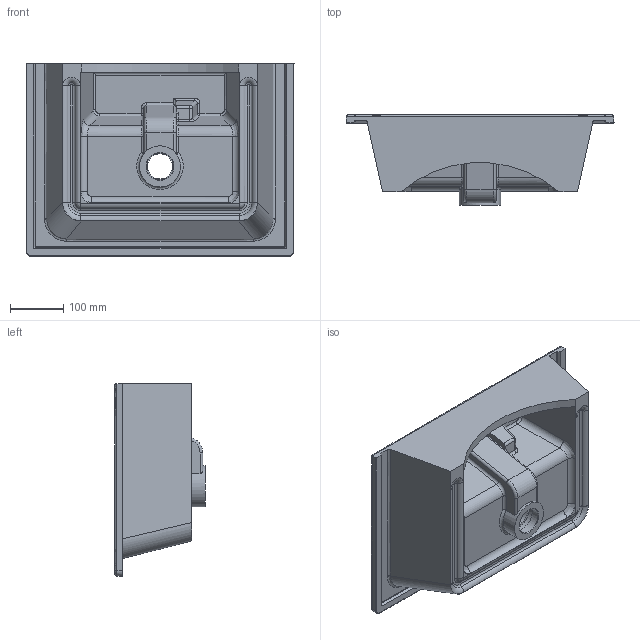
import math
import cadquery as cq


rim_width = 500.0
rim_height = 360.0
rim_depth = 15.0
rim_draft = 3.2
rim_corner_radius = 10.0
rim_edge_radius = 4.0
rim_lip_radius = 1.0
recess_margin = 14.0
recess_slope = 3.0
recess_corner_radius = 2.5
recess_floor_depth = 10.0
recess_root_radius = 1.5

skirt_depth = 144.0
skirt_front_half_width = 182.5
skirt_front_bottom = 294.5
skirt_front_radius = 34.5
skirt_base_half_width = 212.0
skirt_base_bottom = 328.5
skirt_base_radius = 37.0
skirt_base_fillet = 5.0

groove_half_width = 16.5
groove_edge_land = 0.3
groove_floor_half_width = 2.2
groove_crest_radius = 11.0
groove_root_radius = 5.0
groove_end_z = -41.7

wall_draft = 11.0
top_wall = 16.5
pocket_half_width = 148.0
pocket_bottom = 260.5
pocket_corner_radius = 21.0
pocket_side_fillet = 12.0
shelf_depth = 22.0
bowl_floor_depth = 134.0
bowl_crest_z = -119.5
bowl_crest_radius = 20.0
small_fillet = 5.0

arch_half_chord = 147.5
arch_rise = 54.5

channel_half_width = 30.0
channel_depth = 164.5
channel_crest_z = -105.1
channel_crest_radius = 30.0
block_depth = 75.5
block_top_z = -79.0
block_right_x = 60.0
block_bottom_z = -130.0
drain_parts_reach = 75.0

drain_z = -192.4
boss_radius = 38.5
boss_depth = 169.0
lip_radius = 25.0
lip_chamfer = 1.0
lip_length = 16.5
chamber_radius = 28.0
chamber_end = 27.0
drain_radius = 23.5

draft_ratio = math.tan(math.radians(wall_draft))

quarter_arc_inset = 1 - math.sqrt(0.5)

near = 1.0


def u_outline(workplane, half_width, bottom, radius):
    """Outline flat along Z = 0, with two rounded corners at the bottom."""
    bend = radius * quarter_arc_inset
    return (
        workplane.moveTo(-half_width, 0)
        .lineTo(-half_width, radius - bottom)
        .threePointArc((bend - half_width, bend - bottom), (radius - half_width, -bottom))
        .lineTo(half_width - radius, -bottom)
        .threePointArc((half_width - bend, bend - bottom), (half_width, radius - bottom))
        .lineTo(half_width, 0)
        .close()
    )


def u_frustum(start_depth, start_outline, end_depth, end_outline):
    """Solid between two U outlines, each given as (half width, bottom, corner radius)."""
    start = u_outline(cq.Workplane("XZ").workplane(offset=start_depth), *start_outline)
    end = u_outline(start.workplane(offset=end_depth - start_depth), *end_outline)
    return end.loft(ruled=True, combine=True)


def side_prism(points, x_start, x_end):
    """Prism along X from an outline of (depth, z) points."""
    outline = [(-depth, z) for depth, z in points]
    return cq.Workplane("YZ").workplane(offset=x_start).polyline(outline).close().extrude(x_end - x_start)


def box_between(low, high):
    """Selector for edges centred between two corner points."""
    return cq.selectors.BoxSelector(low, high)


def crest_edge(depth, z):
    """Selector for the edge running along X at the given depth and height."""
    return box_between((-near, -depth - near, z - near), (near, near - depth, z + near))


def make_rim():
    growth = rim_depth * math.tan(math.radians(rim_draft))
    back = (rim_width / 2, rim_height, rim_corner_radius)
    front = (rim_width / 2 + growth, rim_height + growth, rim_corner_radius)
    rim = u_frustum(0, back, rim_depth, front)
    rim = rim.faces(">Y").edges().fillet(rim_edge_radius)
    rim = rim.faces("<Y").edges("not >Z").fillet(rim_lip_radius)

    mouth = (front[0] - recess_margin, front[1] - recess_margin, recess_corner_radius)
    floor = (mouth[0] - recess_slope, mouth[1] - recess_slope, recess_corner_radius)
    recess = u_frustum(recess_floor_depth, floor, rim_depth, mouth)
    recess = recess.faces(">Y").edges("not >Z").fillet(recess_root_radius)
    return rim.cut(recess)


def add_skirt(body):
    base = (skirt_base_half_width, skirt_base_bottom, skirt_base_radius)
    front = (skirt_front_half_width, skirt_front_bottom, skirt_front_radius)
    body = body.union(u_frustum(recess_floor_depth, base, skirt_depth, front))
    foot = box_between(
        (-skirt_base_half_width - near, -recess_floor_depth - near, -skirt_base_bottom - near),
        (skirt_base_half_width + near, -recess_floor_depth + near, -near),
    )
    return body.edges(foot).fillet(skirt_base_fillet)


def make_groove():
    run = groove_half_width - groove_floor_half_width
    angle = math.asin(run / (groove_crest_radius + groove_root_radius))
    floor_y = (groove_crest_radius + groove_root_radius) * (1 - math.cos(angle))

    def root_point(turn):
        return (
            groove_floor_half_width + groove_root_radius * math.sin(turn),
            floor_y - groove_root_radius * (1 - math.cos(turn)),
        )

    def crest_point(turn):
        return (
            groove_half_width - groove_crest_radius * math.sin(turn),
            groove_crest_radius * (1 - math.cos(turn)),
        )

    def mirrored(point):
        return (-point[0], point[1])

    def right_half(outline):
        return (
            outline.lineTo(groove_floor_half_width, floor_y)
            .threePointArc(root_point(angle / 2), root_point(angle))
            .threePointArc(crest_point(angle / 2), crest_point(0))
            .close()
        )

    center_x = skirt_front_half_width - groove_edge_land - groove_half_width
    bottom_z = groove_half_width + groove_edge_land - skirt_front_bottom
    bend_radius = skirt_front_radius - groove_edge_land - groove_half_width
    bend = bend_radius * quarter_arc_inset

    path = (
        cq.Workplane("XZ", origin=(0, -skirt_depth, 0))
        .moveTo(-center_x, groove_end_z)
        .lineTo(-center_x, bottom_z + bend_radius)
        .threePointArc((bend - center_x, bottom_z + bend), (bend_radius - center_x, bottom_z))
        .lineTo(center_x - bend_radius, bottom_z)
        .threePointArc((center_x - bend, bottom_z + bend), (center_x, bottom_z + bend_radius))
        .lineTo(center_x, groove_end_z)
    )
    section = (
        cq.Workplane("XY", origin=(-center_x, -skirt_depth, groove_end_z))
        .moveTo(-groove_half_width, 0)
        .threePointArc(mirrored(crest_point(angle / 2)), mirrored(crest_point(angle)))
        .threePointArc(mirrored(root_point(angle / 2)), mirrored(root_point(0)))
    )
    groove = right_half(section).sweep(path)
    for x in (-center_x, center_x):
        end = cq.Workplane("XY", origin=(x, -skirt_depth, groove_end_z)).lineTo(0, floor_y)
        groove = groove.union(right_half(end).revolve(360, (0, 0), (0, 1)))
    return groove


def make_pocket():
    floor_half_width = pocket_half_width - (skirt_depth - shelf_depth) * draft_ratio
    plan = (
        cq.Workplane("XY", origin=(0, 0, -top_wall))
        .moveTo(-pocket_half_width, -skirt_depth)
        .lineTo(pocket_half_width, -skirt_depth)
        .lineTo(floor_half_width, -shelf_depth)
        .lineTo(-floor_half_width, -shelf_depth)
        .close()
        .extrude(top_wall - pocket_bottom)
    )
    shelf_end_z = bowl_crest_z + (bowl_floor_depth - shelf_depth) * draft_ratio
    floor_end_z = (skirt_depth - bowl_floor_depth) * draft_ratio - pocket_bottom
    side = side_prism(
        [
            (skirt_depth, -top_wall),
            (shelf_depth, -top_wall),
            (shelf_depth, shelf_end_z),
            (bowl_floor_depth, bowl_crest_z),
            (bowl_floor_depth, floor_end_z),
            (skirt_depth, -pocket_bottom),
        ],
        -pocket_half_width,
        pocket_half_width,
    )
    pocket = plan.intersect(side)

    bottom_corners = box_between(
        (-pocket_half_width, near - skirt_depth, -pocket_bottom),
        (pocket_half_width, -bowl_floor_depth - near, floor_end_z),
    )
    pocket = pocket.edges(bottom_corners).fillet(pocket_corner_radius)
    pocket = pocket.edges(crest_edge(bowl_floor_depth, bowl_crest_z)).fillet(bowl_crest_radius)
    bowl_sides = box_between(
        (-pocket_half_width, -bowl_floor_depth - near, -pocket_bottom),
        (pocket_half_width, near - bowl_floor_depth, bowl_crest_z - bowl_crest_radius),
    )
    pocket = pocket.edges(bowl_sides).edges("|Z").fillet(pocket_side_fillet)
    return pocket.faces(">Y").edges().fillet(small_fillet)


def cut_arch(body):
    radius = (arch_half_chord**2 + arch_rise**2) / (2 * arch_rise)
    center_y = arch_rise - skirt_depth - radius
    arch = cq.Workplane("XY").center(0, center_y).circle(radius).extrude(-top_wall)
    return body.cut(arch)


def make_channel():
    foot_z = channel_crest_z + (channel_depth - shelf_depth) * draft_ratio
    channel = side_prism(
        [
            (rim_depth, foot_z),
            (shelf_depth, foot_z),
            (channel_depth, channel_crest_z),
            (channel_depth, drain_z),
            (rim_depth, drain_z),
        ],
        -channel_half_width,
        channel_half_width,
    )
    channel = channel.edges(crest_edge(channel_depth, channel_crest_z)).fillet(channel_crest_radius)
    return channel.faces("<Y").edges("not |X").fillet(small_fillet)


def make_block():
    top_foot_z = block_top_z + (block_depth - shelf_depth) * draft_ratio
    side_foot_x = block_right_x + (block_depth - shelf_depth) * draft_ratio
    side = side_prism(
        [
            (rim_depth, top_foot_z),
            (shelf_depth, top_foot_z),
            (block_depth, block_top_z),
            (block_depth, block_bottom_z),
            (rim_depth, block_bottom_z),
        ],
        channel_half_width,
        side_foot_x,
    )
    plan = (
        cq.Workplane("XY")
        .moveTo(channel_half_width, -block_depth)
        .lineTo(block_right_x, -block_depth)
        .lineTo(side_foot_x, -shelf_depth)
        .lineTo(side_foot_x, -rim_depth)
        .lineTo(channel_half_width, -rim_depth)
        .close()
        .extrude(block_bottom_z)
    )
    block = side.intersect(plan)
    exposed = box_between(
        (channel_half_width + near, -block_depth - near, block_bottom_z + near),
        (side_foot_x - near, -shelf_depth - near, top_foot_z - near),
    )
    return block.edges(exposed).fillet(small_fillet)


def make_boss():
    boss = cq.Workplane("XZ", origin=(0, 0, drain_z)).workplane(offset=rim_depth)
    return boss.circle(boss_radius).extrude(boss_depth - rim_depth)


def is_inner_corner(body, edge):
    """True where two faces of the body meet at a sharp concave edge."""
    probe = 0.2
    least_sine = 0.2
    faces = [face for face in body.faces().vals() if any(other.isSame(edge) for other in face.Edges())]
    if len(faces) != 2:
        return False
    middle = edge.positionAt(0.5)
    first, second = [face.normalAt(middle) for face in faces]
    if first.cross(second).Length < least_sine:
        return False
    return body.val().isInside(middle + (first - second) * probe)


def add_drain_parts(body):
    body = body.union(make_channel()).union(make_boss()).union(make_block())
    around_drain = box_between(
        (-drain_parts_reach, -bowl_floor_depth - near, drain_z - drain_parts_reach),
        (drain_parts_reach, -rim_depth, -top_wall - small_fillet),
    )
    candidates = body.edges(around_drain).vals()
    corners = [edge for edge in candidates if is_inner_corner(body, edge)]
    return body.newObject(corners).fillet(small_fillet)


def cut_drain_bore(body):
    bore = cq.Workplane("XZ", origin=(0, -boss_depth, drain_z))
    tool = bore.circle(drain_radius).extrude(-boss_depth)
    tool = tool.union(bore.circle(chamber_radius).extrude(-chamber_end))
    front_ring = bore.circle(chamber_radius).circle(lip_radius).extrude(-lip_length)
    tool = tool.cut(front_ring)
    lip = body.cut(tool).faces("<Y").edges(cq.selectors.RadiusNthSelector(0))
    return lip.chamfer(lip_chamfer)


basin = add_skirt(make_rim())
basin = basin.cut(make_groove()).cut(make_pocket())
basin = cut_arch(basin)
basin = add_drain_parts(basin)
result = cut_drain_bore(basin).solids()